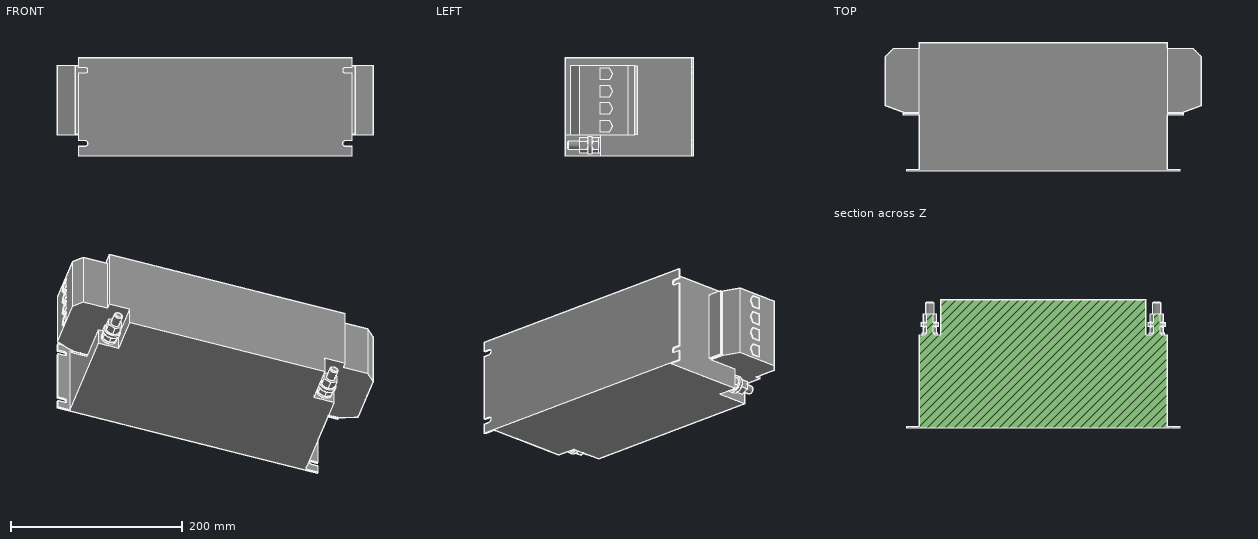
import cadquery as cq

BOX_WIDTH = 290.0
BOX_DEPTH = 150.0
BOX_HEIGHT = 115.1
BACK_Y = BOX_DEPTH / 2
FRONT_Y = -BOX_DEPTH / 2
BOTTOM_Z = -BOX_HEIGHT / 2
TOP_Z = BOX_HEIGHT / 2
SIDE_X = -BOX_WIDTH / 2

FLANGE_WIDTH = 320.0
FLANGE_THICKNESS = 2.0
SLOT_WIDTH = 6.5
SLOT_DEPTH = 11.0
SLOT_SPACING = 85.5

OVERALL_WIDTH = 369.8
TERMINAL_OUTER_X = -OVERALL_WIDTH / 2
TERMINAL_TOP_DROP = 9.1
TERMINAL_TOP_Z = TOP_Z - TERMINAL_TOP_DROP
MODULE_COUNT = 4
MODULE_PITCH = 20.1
END_WALL = 1.2
TERMINAL_BOTTOM_Z = TERMINAL_TOP_Z - MODULE_COUNT * MODULE_PITCH - END_WALL
TERMINAL_BACK_INSET = 6.6
TERMINAL_BACK_Y = BACK_Y - TERMINAL_BACK_INSET
TERMINAL_CHAMFER = 10.0
TERMINAL_FACE_FRONT_Y = 1.4
TERMINAL_FRONT_Y = -6.4
TERMINAL_SLOPE_WIDTH = 21.2
TERMINAL_STEP_X = TERMINAL_OUTER_X + TERMINAL_SLOPE_WIDTH

ENTRY_HEIGHT = 13.5
ENTRY_BACK_Y = 34.0
ENTRY_SHOULDER_Y = 23.2
ENTRY_POINT_Y = 19.4
ENTRY_DEPTH = 1.0

PLATE_THICKNESS = 2.0
PLATE_FRONT_Y = -9.7
PLATE_BOTTOM_MARGIN = 1.0
PLATE_TOP_MARGIN = 0.5
WEB_INSET = 0.5

RECESS_WIDTH = 25.0
RECESS_FRONT_Y = 33.7
STUD_X = SIDE_X + RECESS_WIDTH / 2
STUD_HEIGHT = 12.6
STUD_Z = BOTTOM_Z + STUD_HEIGHT
STUD_DIAMETER = 10.0
STUD_TIP_Y = 72.0
STUD_CHAMFER = 1.2
NUT_ACROSS_CORNERS = 18.5
NUT_CHAMFER_LENGTH = 1.6
NUT_CHAMFER_INSET = 1.3
COLLAR_DIAMETER = 18.0
WASHER_DIAMETER = 20.5
WASHER_COUNT = 2
WASHER_THICKNESS = 2.2
INNER_NUT_START_Y = 36.0
WASHER_START_Y = 43.7
OUTER_NUT_START_Y = WASHER_START_Y + WASHER_COUNT * WASHER_THICKNESS
OUTER_NUT_END_Y = 58.3


def block(x_range, y_range, z_range):
    """Axis-aligned box between the given limits."""
    size = [high - low for low, high in (x_range, y_range, z_range)]
    corner = cq.Vector(x_range[0], y_range[0], z_range[0])
    return cq.Workplane(obj=cq.Solid.makeBox(*size, corner))


def enclosure():
    """Box and slotted flange."""
    box = cq.Workplane().box(BOX_WIDTH, BOX_DEPTH, BOX_HEIGHT)
    half_width = FLANGE_WIDTH / 2
    flange = block(
        (-half_width, half_width),
        (FRONT_Y, FRONT_Y + FLANGE_THICKNESS),
        (BOTTOM_Z, TOP_Z),
    )
    slots = (
        cq.Workplane("XZ", origin=(0, FRONT_Y + FLANGE_THICKNESS, 0))
        .rarray(FLANGE_WIDTH, SLOT_SPACING, 2, 2)
        .slot2D(2 * SLOT_DEPTH, SLOT_WIDTH)
        .extrude(FLANGE_THICKNESS)
    )
    return box.union(flange.cut(slots))


def terminal_module(bottom_z, top_z):
    """One terminal module with its wire entry."""
    body = (
        cq.Workplane("XY", origin=(0, 0, bottom_z))
        .moveTo(SIDE_X, TERMINAL_BACK_Y)
        .lineTo(TERMINAL_OUTER_X + TERMINAL_CHAMFER, TERMINAL_BACK_Y)
        .lineTo(TERMINAL_OUTER_X, TERMINAL_BACK_Y - TERMINAL_CHAMFER)
        .lineTo(TERMINAL_OUTER_X, TERMINAL_FACE_FRONT_Y)
        .lineTo(TERMINAL_STEP_X, TERMINAL_FRONT_Y)
        .lineTo(SIDE_X, TERMINAL_FRONT_Y)
        .close()
        .extrude(top_z - bottom_z)
    )
    middle_z = (bottom_z + top_z) / 2
    entry_low = middle_z - ENTRY_HEIGHT / 2
    entry_high = middle_z + ENTRY_HEIGHT / 2
    entry = (
        cq.Workplane("YZ", origin=(TERMINAL_OUTER_X, 0, 0))
        .moveTo(ENTRY_BACK_Y, entry_low)
        .lineTo(ENTRY_SHOULDER_Y, entry_low)
        .lineTo(ENTRY_POINT_Y, middle_z)
        .lineTo(ENTRY_SHOULDER_Y, entry_high)
        .lineTo(ENTRY_BACK_Y, entry_high)
        .close()
        .extrude(ENTRY_DEPTH)
    )
    return body.cut(entry)


def mounting_plate():
    """Plate and web in front of the terminal block."""
    plate_low = TERMINAL_BOTTOM_Z + PLATE_BOTTOM_MARGIN
    plate_high = TERMINAL_TOP_Z - PLATE_TOP_MARGIN
    plate_back_y = PLATE_FRONT_Y + PLATE_THICKNESS
    plate = block((TERMINAL_STEP_X, SIDE_X), (PLATE_FRONT_Y, plate_back_y), (plate_low, plate_high))
    web = block(
        (TERMINAL_STEP_X + WEB_INSET, SIDE_X),
        (plate_back_y, TERMINAL_FRONT_Y),
        (plate_low + WEB_INSET, plate_high - WEB_INSET),
    )
    return plate.union(web)


def stud_plane(start_y):
    """Workplane on the stud axis, facing the back of the enclosure."""
    return cq.Workplane(cq.Plane((STUD_X, start_y, STUD_Z), xDir=(0, 0, 1), normal=(0, 1, 0)))


def disc(diameter, start_y, end_y):
    """Cylinder on the stud axis."""
    return stud_plane(start_y).circle(diameter / 2).extrude(end_y - start_y)


def nut(start_y, end_y, washer_side):
    """Hexagon with one corner up, its corners bevelled on the face selected by `washer_side`."""
    hexagon = stud_plane(start_y).polygon(6, NUT_ACROSS_CORNERS).extrude(end_y - start_y)
    bevelled_disc = (
        disc(NUT_ACROSS_CORNERS, start_y, end_y)
        .faces(washer_side)
        .edges()
        .chamfer(NUT_CHAMFER_LENGTH, NUT_CHAMFER_INSET)
    )
    return hexagon.intersect(bevelled_disc)


def earth_stud():
    """Stud with collar, two nuts and two washers."""
    stud = disc(STUD_DIAMETER, RECESS_FRONT_Y, STUD_TIP_Y).faces(">Y").chamfer(STUD_CHAMFER)
    collar = disc(COLLAR_DIAMETER, RECESS_FRONT_Y, INNER_NUT_START_Y)
    inner_nut = nut(INNER_NUT_START_Y, WASHER_START_Y, ">Y")
    outer_nut = nut(OUTER_NUT_START_Y, OUTER_NUT_END_Y, "<Y")
    stud = stud.union(collar).union(inner_nut).union(outer_nut)
    for index in range(WASHER_COUNT):
        washer_y = WASHER_START_Y + index * WASHER_THICKNESS
        washer = disc(WASHER_DIAMETER, washer_y, washer_y + WASHER_THICKNESS)
        stud = stud.union(washer, clean=False)
    return stud


def corner_recess():
    """Volume removed from the lower back corner of the enclosure."""
    return block(
        (SIDE_X, SIDE_X + RECESS_WIDTH),
        (RECESS_FRONT_Y, BACK_Y),
        (BOTTOM_Z, TERMINAL_BOTTOM_Z),
    )


def side_parts():
    """Everything added on the -X side; the module faces stay separate."""
    parts = [mounting_plate(), earth_stud()]
    for index in range(MODULE_COUNT):
        top_z = TERMINAL_TOP_Z - index * MODULE_PITCH
        is_lowest = index == MODULE_COUNT - 1
        bottom_z = TERMINAL_BOTTOM_Z if is_lowest else top_z - MODULE_PITCH
        parts.append(terminal_module(bottom_z, top_z))
    return parts


recess = corner_recess()
result = enclosure().cut(recess).cut(recess.mirror("YZ"))
for part in side_parts():
    result = result.union(part, clean=False).union(part.mirror("YZ"), clean=False)